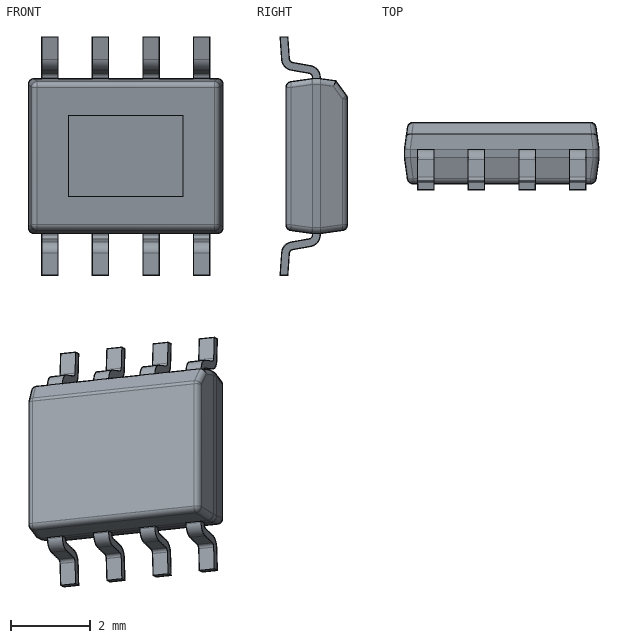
import cadquery as cq
import math

HOUSING_LENGTH = 4.9
HOUSING_HEIGHT = 3.9
HOUSING_BOTTOM = 0.15
LOWER_DEPTH = 0.665
UPPER_DEPTH = 0.685
DRAFT_ANGLE = 8.0
EDGE_RADIUS = 0.15

SLOPE_DEPTH = 0.295
SLOPE_ANGLE = 36.0

LEAD_THICKNESS = 0.2
LEAD_WIDTH = 0.415
LEAD_PITCH = 1.27
LEADS_PER_ROW = 4
LEAD_SPAN = 6.0
LEAD_ROOT = 0.03
BEND_INNER_RADIUS = 0.1
SHANK_ANGLE = 80.0
FOOT_ANGLE = 4.0

PAD_LENGTH = 2.885
PAD_HEIGHT = 2.04
PAD_THICKNESS = LEAD_THICKNESS

BAND_BOTTOM = HOUSING_BOTTOM + LOWER_DEPTH
BAND_TOP = BAND_BOTTOM + LEAD_THICKNESS
HOUSING_TOP = BAND_TOP + UPPER_DEPTH
HALF_HEIGHT = HOUSING_HEIGHT / 2
RIDGE_Y = HOUSING_TOP - SLOPE_DEPTH
BEND_OUTER_RADIUS = BEND_INNER_RADIUS + LEAD_THICKNESS
FOOT_SLOPE = math.tan(math.radians(FOOT_ANGLE))
TOLERANCE = 6e-05


def block_along_y(length, height, start, end, draft=0.0):
    """Rectangular block from Y = start to Y = end, centred in X and Z, narrowing towards its end."""
    direction = math.copysign(1, end - start)
    plane = cq.Plane(origin=(0, start, 0), xDir=(1, 0, 0), normal=(0, direction, 0))
    return cq.Workplane(plane).rect(length, height).extrude(abs(end - start), taper=draft)


def cut_slope(housing):
    """Take the corner off between the top face and the +Z side, straight through along X."""
    ridge_z = HALF_HEIGHT - (RIDGE_Y - BAND_TOP) * math.tan(math.radians(DRAFT_ANGLE))
    run = UPPER_DEPTH
    rise = run / math.tan(math.radians(SLOPE_ANGLE))
    wedge = (
        cq.Workplane("YZ")
        .moveTo(RIDGE_Y - run, ridge_z + rise)
        .lineTo(RIDGE_Y + run, ridge_z - rise)
        .lineTo(RIDGE_Y + run, ridge_z + rise)
        .close()
        .extrude(HOUSING_LENGTH, both=True)
    )
    return housing.cut(wedge)


def is_rounded(edge):
    """True for every housing edge except the outlines of the middle band and the ridge of the slope."""
    box = edge.BoundingBox()
    lies_in_one_level = box.ymax - box.ymin < TOLERANCE
    kept_levels = (BAND_BOTTOM, BAND_TOP, RIDGE_Y)
    return not (lies_in_one_level and any(abs(box.ymin - y) < TOLERANCE for y in kept_levels))


def make_pad():
    """Exposed pad, let into the bottom face of the housing."""
    return block_along_y(PAD_LENGTH, PAD_HEIGHT, HOUSING_BOTTOM, HOUSING_BOTTOM + PAD_THICKNESS)


def make_housing():
    """Flat middle band with a drafted part on each side, rounded, with a recess for the pad."""
    band = block_along_y(HOUSING_LENGTH, HOUSING_HEIGHT, BAND_BOTTOM, BAND_TOP)
    lower = block_along_y(HOUSING_LENGTH, HOUSING_HEIGHT, BAND_BOTTOM, HOUSING_BOTTOM, DRAFT_ANGLE)
    upper = block_along_y(HOUSING_LENGTH, HOUSING_HEIGHT, BAND_TOP, HOUSING_TOP, DRAFT_ANGLE)
    housing = cut_slope(band.union(lower).union(upper))
    rounded_edges = [edge for edge in housing.edges().vals() if is_rounded(edge)]
    housing = housing.newObject(rounded_edges).fillet(EDGE_RADIUS)
    return housing.cut(make_pad())


def around(center, radius, angle):
    """(Y, Z) point at a radius around a bend centre; the angle in degrees runs from +Y towards +Z.

    A negative radius gives the point on the opposite side of the centre.
    """
    turn = math.radians(angle)
    return (center[0] + radius * math.cos(turn), center[1] + radius * math.sin(turn))


def foot_face(bend_end):
    """(Y, Z) point at the foot tip on the straight face that starts at the end of a bend."""
    tip_z = LEAD_SPAN / 2
    return (bend_end[0] - (tip_z - bend_end[1]) * FOOT_SLOPE, tip_z)


def make_lead(x):
    """Gull-wing lead of the +Z row, centred on x, from the housing side to the foot tip."""
    first = (BAND_BOTTOM - BEND_INNER_RADIUS, HALF_HEIGHT + LEAD_ROOT)
    second = around(first, BEND_INNER_RADIUS + BEND_OUTER_RADIUS, SHANK_ANGLE)
    height_left = foot_face(around(second, -BEND_OUTER_RADIUS, FOOT_ANGLE))[0]
    shank_turn = math.radians(SHANK_ANGLE)
    shank_length = height_left / (math.sin(shank_turn) - math.cos(shank_turn) * FOOT_SLOPE)
    second = around(second, shank_length, SHANK_ANGLE + 90)

    first_middle = SHANK_ANGLE / 2
    second_middle = (SHANK_ANGLE + FOOT_ANGLE) / 2
    upper_bend_end = around(second, -BEND_INNER_RADIUS, FOOT_ANGLE)
    lower_bend_end = around(second, -BEND_OUTER_RADIUS, FOOT_ANGLE)
    return (
        cq.Workplane("YZ", origin=(x - LEAD_WIDTH / 2, 0, 0))
        .moveTo(BAND_TOP, HALF_HEIGHT)
        .lineTo(*around(first, BEND_OUTER_RADIUS, 0))
        .threePointArc(
            around(first, BEND_OUTER_RADIUS, first_middle),
            around(first, BEND_OUTER_RADIUS, SHANK_ANGLE),
        )
        .lineTo(*around(second, -BEND_INNER_RADIUS, SHANK_ANGLE))
        .threePointArc(around(second, -BEND_INNER_RADIUS, second_middle), upper_bend_end)
        .lineTo(*foot_face(upper_bend_end))
        .lineTo(*foot_face(lower_bend_end))
        .lineTo(*lower_bend_end)
        .threePointArc(
            around(second, -BEND_OUTER_RADIUS, second_middle),
            around(second, -BEND_OUTER_RADIUS, SHANK_ANGLE),
        )
        .lineTo(*around(first, BEND_INNER_RADIUS, SHANK_ANGLE))
        .threePointArc(
            around(first, BEND_INNER_RADIUS, first_middle),
            around(first, BEND_INNER_RADIUS, 0),
        )
        .lineTo(BAND_BOTTOM, HALF_HEIGHT)
        .close()
        .extrude(LEAD_WIDTH)
    )


housing = make_housing()
pad = make_pad()

leads = []
for index in range(LEADS_PER_ROW):
    upper_lead = make_lead((index - (LEADS_PER_ROW - 1) / 2) * LEAD_PITCH)
    leads.append(upper_lead.val())
    leads.append(upper_lead.mirror("XY").val())

result = cq.Compound.makeCompound([housing.val(), pad.val(), *leads])